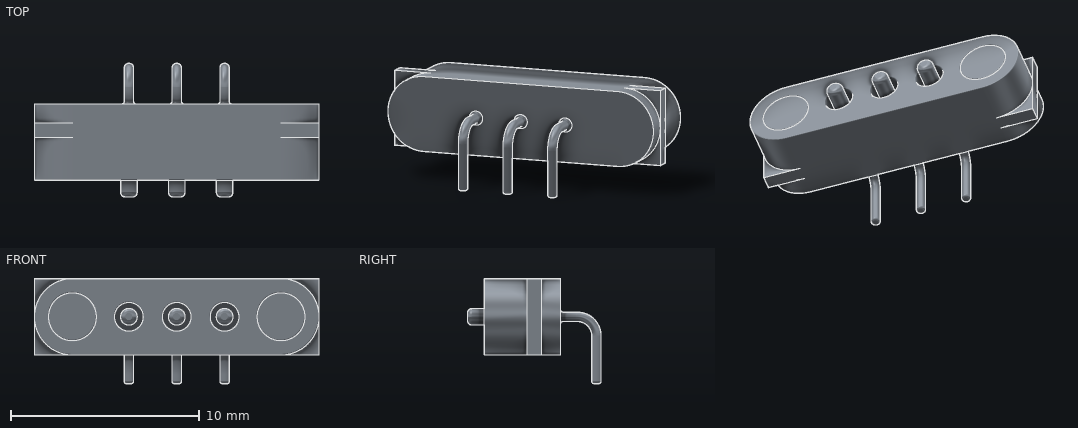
import cadquery as cq
import math

INCH = 25.4

HOUSING_LENGTH = 0.595 * INCH
HOUSING_HEIGHT = 0.160 * INCH
HOUSING_DEPTH = 0.160 * INCH
FRONT_EDGE_RADIUS = 0.002 * INCH
MOUTH_EDGE_RADIUS = FRONT_EDGE_RADIUS

FLANGE_THICKNESS = 0.030 * INCH
FLANGE_REAR_SETBACK = 0.040 * INCH
FLANGE_FRONT_Y = HOUSING_DEPTH - FLANGE_REAR_SETBACK - FLANGE_THICKNESS

MAGNET_SPACING = 0.436 * INCH
MAGNET_DIAMETER = 0.100 * INCH
MAGNET_EDGE_RADIUS = 0.002 * INCH
MAGNET_LENGTH = 0.100 * INCH

PIN_PITCH = 0.100 * INCH
PIN_COUNT = 3
PLUNGER_DIAMETER = 0.035 * INCH
PLUNGER_PROTRUSION = 0.035 * INCH
PLUNGER_TIP_RADIUS = 0.010 * INCH
WELL_DIAMETER = 0.060 * INCH
WELL_DEPTH = 0.100 * INCH
TAIL_DIAMETER = 0.020 * INCH
TAIL_BEND_RADIUS = 0.040 * INCH
TAIL_STRAIGHT = 0.035 * INCH
TAIL_DROP = 0.060 * INCH
TAIL_TIP_RADIUS = 0.005 * INCH
COLLAR_FILLET = 0.005 * INCH
COLLAR_DIAMETER = TAIL_DIAMETER + 2 * COLLAR_FILLET

pin_positions = [(i - (PIN_COUNT - 1) / 2) * PIN_PITCH for i in range(PIN_COUNT)]
magnet_positions = [-MAGNET_SPACING / 2, MAGNET_SPACING / 2]


def cylinder_along_y(x, diameter, y_start, y_end):
    """Round bar parallel to Y, centred on Z = 0."""
    plane = cq.Plane(origin=(x, y_start, 0), xDir=(1, 0, 0), normal=(0, 1, 0))
    return cq.Workplane(plane).circle(diameter / 2).extrude(y_end - y_start)


def round_mouth_hole(x, diameter, depth):
    """Cutter for a blind hole in the front face, flared at its mouth by a rounded edge."""
    radius = diameter / 2
    flare_radius = radius + MOUTH_EDGE_RADIUS
    arc_inset = MOUTH_EDGE_RADIUS * (1 - math.sin(math.radians(45)))
    profile = (
        cq.Workplane("XY")
        .moveTo(0, 0)
        .lineTo(flare_radius, 0)
        .threePointArc((radius + arc_inset, arc_inset), (radius, MOUTH_EDGE_RADIUS))
        .lineTo(radius, depth)
        .lineTo(0, depth)
        .close()
    )
    return profile.revolve(360, (0, 0, 0), (0, 1, 0)).translate((x, 0, 0))


def make_housing():
    rear_plane = cq.Workplane("XZ", origin=(0, HOUSING_DEPTH, 0))
    body = rear_plane.slot2D(HOUSING_LENGTH, HOUSING_HEIGHT).extrude(HOUSING_DEPTH)
    body = body.faces("<Y").edges().fillet(FRONT_EDGE_RADIUS)
    flange = cq.Workplane("XY").box(
        HOUSING_LENGTH, FLANGE_THICKNESS, HOUSING_HEIGHT, centered=(True, False, True)
    )
    body = body.union(flange.translate((0, FLANGE_FRONT_Y, 0)))
    for x in magnet_positions:
        body = body.cut(round_mouth_hole(x, MAGNET_DIAMETER, MAGNET_LENGTH))
    for x in pin_positions:
        body = body.cut(round_mouth_hole(x, WELL_DIAMETER, WELL_DEPTH))
        body = body.cut(cylinder_along_y(x, COLLAR_DIAMETER, WELL_DEPTH, HOUSING_DEPTH))
    return body


def make_magnet(x):
    magnet = cylinder_along_y(x, MAGNET_DIAMETER, 0, MAGNET_LENGTH)
    return magnet.faces("<Y").edges().fillet(MAGNET_EDGE_RADIUS)


def make_collar(x):
    """Round shank through the housing wall, running out in a concave fillet to the tail."""
    collar_radius = COLLAR_DIAMETER / 2
    fillet_end = HOUSING_DEPTH + COLLAR_FILLET
    arc_inset = COLLAR_FILLET * math.sin(math.radians(45))
    arc_middle = (collar_radius - arc_inset, fillet_end - arc_inset)
    profile = (
        cq.Workplane("XY")
        .moveTo(0, WELL_DEPTH)
        .lineTo(collar_radius, WELL_DEPTH)
        .lineTo(collar_radius, HOUSING_DEPTH)
        .threePointArc(arc_middle, (TAIL_DIAMETER / 2, fillet_end))
        .lineTo(0, fillet_end)
        .close()
    )
    return profile.revolve(360, (0, 0, 0), (0, 1, 0)).translate((x, 0, 0))


def make_pin(x):
    """Plunger in front, collar through the housing wall, tail bent down behind."""
    plunger = cylinder_along_y(x, PLUNGER_DIAMETER, -PLUNGER_PROTRUSION, WELL_DEPTH)
    plunger = plunger.faces("<Y").edges().fillet(PLUNGER_TIP_RADIUS)
    collar = make_collar(x)
    bend_start = HOUSING_DEPTH + TAIL_STRAIGHT
    bend_end = bend_start + TAIL_BEND_RADIUS
    arc_offset = TAIL_BEND_RADIUS * math.sin(math.radians(45))
    arc_middle = (bend_start + arc_offset, arc_offset - TAIL_BEND_RADIUS)
    path = (
        cq.Workplane("YZ", origin=(x, 0, 0))
        .moveTo(HOUSING_DEPTH, 0)
        .lineTo(bend_start, 0)
        .threePointArc(arc_middle, (bend_end, -TAIL_BEND_RADIUS))
        .lineTo(bend_end, -HOUSING_HEIGHT / 2 - TAIL_DROP)
    )
    tail_plane = cq.Plane(origin=(x, HOUSING_DEPTH, 0), xDir=(1, 0, 0), normal=(0, 1, 0))
    tail = cq.Workplane(tail_plane).circle(TAIL_DIAMETER / 2).sweep(path)
    tail = tail.faces("<Z").edges().fillet(TAIL_TIP_RADIUS)
    return plunger.union(collar).union(tail)


housing = make_housing()
magnets = [make_magnet(x) for x in magnet_positions]
pins = [make_pin(x) for x in pin_positions]

result = cq.Compound.makeCompound(
    [housing.val(), *[magnet.val() for magnet in magnets], *[pin.val() for pin in pins]]
)